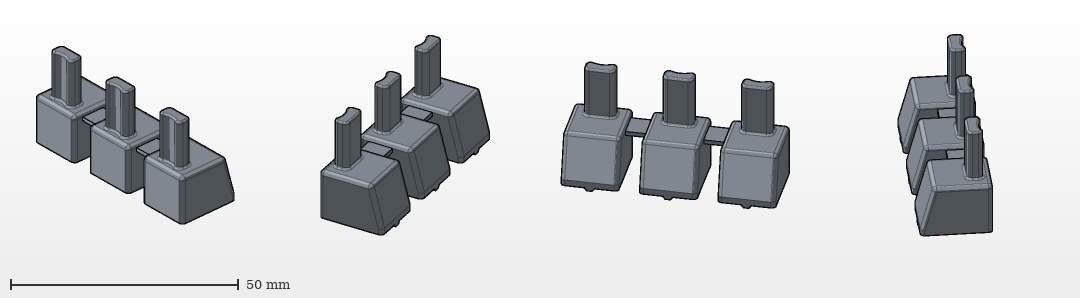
import cadquery as cq
import math

block_count = 3
pitch = 17.6

block_width = 13.0
block_depth = 16.0
block_height = 12.0
block_fillet = 1.0
heel_height = 1.5
back_slope_deg = 15.0

post_width = 7.0
post_depth = 3.5
post_height = 12.0
post_front_y = 1.9
post_back_radius = 1.2
post_front_radius = 1.05
hollow_radius = 4.25
post_top_fillet = 0.5
post_foot_fillet = 0.5
foot_margin = 0.1

web_depth = 6.0
web_thickness = 1.0
web_front_y = 2.5
web_top_z = block_height - block_fillet

nub_top_width = 2.3
nub_bottom_width = 1.3
nub_height = 0.7
nub_length = 1.0


def make_block():
    slope_run = (block_height - heel_height) * math.tan(math.radians(back_slope_deg))
    side_profile = [
        (0, 0),
        (block_depth, 0),
        (block_depth, heel_height),
        (block_depth - slope_run, block_height),
        (0, block_height),
    ]
    body = (
        cq.Workplane("YZ")
        .polyline(side_profile)
        .close()
        .extrude(block_width / 2, both=True)
    )
    return body.edges("(not (|X or |Y)) or >Z").fillet(block_fillet)


def post_outline():
    """Rounded rectangle whose front side bows inward, tangent to both front corners."""
    side_x = post_width / 2
    back_y = post_front_y + post_depth
    back_corner_x = side_x - post_back_radius
    back_corner_y = back_y - post_back_radius
    back_diagonal = post_back_radius * math.sqrt(0.5)
    front_corner_x = side_x - post_front_radius
    front_corner_y = post_front_y + post_front_radius
    front_diagonal = post_front_radius * math.sqrt(0.5)

    centre_distance = hollow_radius + post_front_radius
    hollow_angle = math.asin(front_corner_x / centre_distance)
    hollow_centre_y = front_corner_y - centre_distance * math.cos(hollow_angle)
    hollow_deepest_y = hollow_centre_y + hollow_radius
    hollow_end_x = hollow_radius * math.sin(hollow_angle)
    hollow_end_y = hollow_centre_y + hollow_radius * math.cos(hollow_angle)

    back_mid_x = back_corner_x + back_diagonal
    back_mid_y = back_corner_y + back_diagonal
    front_mid_x = front_corner_x + front_diagonal
    front_mid_y = front_corner_y - front_diagonal

    return (
        cq.Workplane("XY", origin=(0, 0, block_height))
        .moveTo(-hollow_end_x, hollow_end_y)
        .threePointArc((0, hollow_deepest_y), (hollow_end_x, hollow_end_y))
        .threePointArc((front_mid_x, front_mid_y), (side_x, front_corner_y))
        .lineTo(side_x, back_corner_y)
        .threePointArc((back_mid_x, back_mid_y), (back_corner_x, back_y))
        .lineTo(-back_corner_x, back_y)
        .threePointArc((-back_mid_x, back_mid_y), (-side_x, back_corner_y))
        .lineTo(-side_x, front_corner_y)
        .threePointArc((-front_mid_x, front_mid_y), (-hollow_end_x, hollow_end_y))
        .close()
    )


def add_post(block):
    post = post_outline().extrude(post_height).faces(">Z").edges().fillet(post_top_fillet)
    joined = block.union(post)
    half_width = post_width / 2 + foot_margin
    front_y = post_front_y - foot_margin
    back_y = post_front_y + post_depth + foot_margin
    foot_region = cq.selectors.BoxSelector(
        (-half_width, front_y, block_height - foot_margin),
        (half_width, back_y, block_height + foot_margin),
    )
    return joined.edges(foot_region).fillet(post_foot_fillet)


def make_nub():
    return (
        cq.Workplane("XZ", origin=(0, block_depth, 0))
        .polyline([
            (-nub_top_width / 2, 0),
            (nub_top_width / 2, 0),
            (nub_bottom_width / 2, -nub_height),
            (-nub_bottom_width / 2, -nub_height),
        ])
        .close()
        .extrude(nub_length)
    )


def make_web():
    """One strip running through all the blocks, from the first block's middle to the last's."""
    strip_length = pitch * (block_count - 1)
    return (
        cq.Workplane("XY")
        .box(strip_length, web_depth, web_thickness, centered=(True, False, False))
        .translate((0, web_front_y, web_top_z - web_thickness))
    )


unit = add_post(make_block()).union(make_nub())
result = make_web()
for index in range(block_count):
    unit_x = (index - (block_count - 1) / 2) * pitch
    result = result.union(unit.translate((unit_x, 0, 0)))